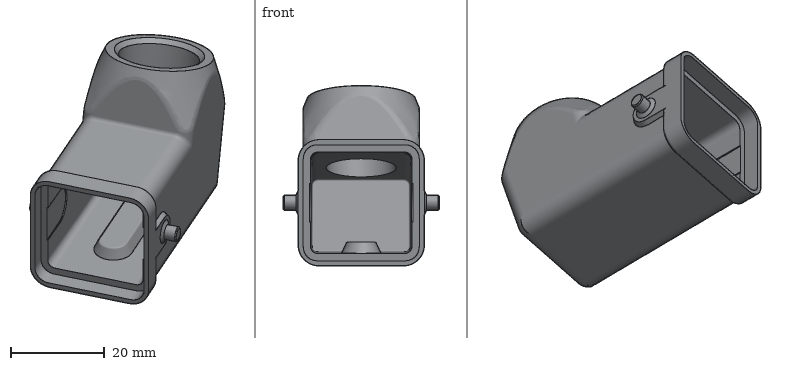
import cadquery as cq
import math


body_width = 25.0
body_half = body_width / 2
body_edge_radius = 3.5

tilt = 15.0
sin_tilt = math.sin(math.radians(tilt))
cos_tilt = math.cos(math.radians(tilt))
neck_axis = 35.85
neck_front = neck_axis - body_half
neck_rear = neck_axis + body_half
neck_top = 32.45
neck_edge_radius = 3.1
inside_corner_radius = 1.0

rim_radius = 11.63
cone_half_angle = 21.5
cone_depth = 13.0
blend_radius = 2.0

bore_radius = 8.7
bore_chamfer = 1.0
bore_depth = 10.25
passage_radius = 7.5
passage_overlap = 1.0

flange_width = 27.0
flange_half = flange_width / 2
flange_length = 5.25
flange_step = flange_half - body_half
flange_edge_radius = body_edge_radius + flange_step
flange_back_radius = 0.95 * flange_step
seat_half = 12.4
seat_radius = 3.0
seat_depth = 3.65

cavity_half = 10.85
cavity_corner_radius = 1.6
cavity_draft = 0.55
cavity_rear = 45.7
ceiling_height = 17.35
ceiling_edge_radius = 1.3
cavity_blend = 0.3

relief_half = 11.05
relief_radius = 4.1
relief_center = 11.0

ridge_radius = 4.25
ridge_height = 2.45
ridge_draft = 25.0
ridge_edge_radius = 0.5
ridge_center = 14.8

pin_y = 9.65
pin_radius = 1.62
pin_reach = 16.7
pin_chamfer = 0.25
collar_radius = 2.6
collar_height = 0.5
pad_radius = 4.15
pad_draft = 32.0


def from_neck(across, along):
    """Return (y, z) of a point given across and along the tilted neck axis."""
    return (across * cos_tilt + along * sin_tilt, along * cos_tilt - across * sin_tilt)


def along_at_height(across, z):
    """Return the distance along the neck axis at which a neck wall meets height z."""
    return (z + across * sin_tilt) / cos_tilt


def neck_plane(along):
    """Return the plane square to the neck axis, centred on it."""
    y, z = from_neck(neck_axis, along)
    return cq.Plane(origin=(0, y, z), xDir=(1, 0, 0), normal=(0, sin_tilt, cos_tilt))


def side_profile(points, half_width):
    """Extrude a closed (y, z) outline symmetrically along X."""
    return cq.Workplane("YZ").polyline(points).close().extrude(half_width, both=True)


def neck_box(front, rear, bottom, top):
    """Return a block the width of the body, square to the tilted neck axis."""
    corners = [(front, bottom), (rear, bottom), (rear, top), (front, top)]
    return side_profile([from_neck(*corner) for corner in corners], body_half)


def edge_at(solid, x, y, z):
    """Return the edge of the solid nearest to a point."""
    return solid.edges(cq.selectors.NearestToPointSelector((x, y, z))).val()


def round_edges(solid, radius, points):
    """Round the edges nearest to the given points."""
    return cq.Workplane(solid.val().fillet(radius, [edge_at(solid, *point) for point in points]))


def make_back():
    """Block with the rounded floor, heel and rear wall, reaching above the neck."""
    heel = from_neck(neck_rear, along_at_height(neck_rear, -body_half))
    rear_top = from_neck(neck_rear, neck_top + body_half)
    block = side_profile([(0, -body_half), heel, rear_top, (0, rear_top[1])], body_half)
    middle_y = heel[0] / 2
    rear_middle = from_neck(neck_rear, neck_top / 2)
    rounded = [(0, *heel)]
    for side in (-body_half, body_half):
        rounded.append((side, *rear_middle))
        rounded.append((side, middle_y, -body_half))
    return round_edges(block, neck_edge_radius, rounded)


def make_front():
    """Straight barrel joined to the neck, rounded along the barrel and the neck front."""
    length = from_neck(neck_rear, neck_top)[0]
    barrel = cq.Workplane("XZ").rect(body_width, body_width).extrude(-length)
    barrel = barrel.edges("|Y").fillet(body_edge_radius)
    neck_base = along_at_height(neck_rear, 0)
    neck = neck_box(neck_front, neck_rear + body_width, neck_base, neck_top)
    middle = from_neck(neck_front, (neck_base + neck_top) / 2)
    neck = round_edges(neck, neck_edge_radius, [(side, *middle) for side in (-body_half, body_half)])
    joined = barrel.union(neck)
    corner = from_neck(neck_front, along_at_height(neck_front, body_half))
    return round_edges(joined, inside_corner_radius, [(0, *corner)])


def make_body():
    """Outer body with the neck corners trimmed by a cone and blended into its walls."""
    body = make_back().intersect(make_front())
    block_height = cone_depth + 1
    bottom = neck_plane(neck_top - cone_depth)
    cone_base = rim_radius + cone_depth * math.tan(math.radians(cone_half_angle))
    block = cq.Workplane(bottom).rect(2 * body_width, body_width).extrude(block_height)
    cone = cq.Workplane(bottom).circle(cone_base).workplane(offset=cone_depth).circle(rim_radius).loft()
    body = body.cut(block.cut(cone))
    wall_drop = (body_half - rim_radius) / math.tan(math.radians(cone_half_angle))
    crest = from_neck(neck_front, neck_top - wall_drop)
    return round_edges(body, blend_radius, [(0, *crest)])


def make_flange():
    """Raised band around the plug end with a rounded back edge."""
    flange = cq.Workplane("XZ").rect(flange_width, flange_width).extrude(-flange_length)
    flange = flange.edges("|Y").fillet(flange_edge_radius)
    return flange.faces(">Y").edges().fillet(flange_back_radius)


def make_pin(side):
    """Locking pin with its collar on a drafted pad, on the side given by -1 or 1."""
    pad_front = flange_length - flange_step
    pad = (
        cq.Workplane("YZ", origin=(body_half, (pin_y + pad_front) / 2, 0))
        .slot2D(pin_y - pad_front + 2 * pad_radius, 2 * pad_radius)
        .extrude(flange_step, taper=pad_draft)
    )
    collar_top = flange_half + collar_height
    profile = [
        (0, body_half),
        (collar_radius, body_half),
        (collar_radius, flange_half),
        (pin_radius, collar_top),
        (pin_radius, pin_reach - pin_chamfer),
        (pin_radius - pin_chamfer, pin_reach),
        (0, pin_reach),
    ]
    pin = cq.Workplane("XY").polyline(profile).close().revolve(360, (0, 0), (0, 1))
    pin = pin.rotate((0, 0, 0), (0, 0, 1), -90).translate((0, pin_y, 0))
    pin = pin.union(pad)
    if side < 0:
        pin = pin.mirror("YZ")
    return pin


def make_ridge():
    """Drafted ridge along the cavity floor with a round front end."""
    length = neck_axis
    ridge = (
        cq.Workplane("XY", origin=(0, ridge_center + length / 2, -cavity_half))
        .slot2D(length + 2 * ridge_radius, 2 * ridge_radius, 90)
        .extrude(ridge_height, taper=ridge_draft)
    )
    return ridge.faces(">Z").edges().fillet(ridge_edge_radius)


def make_room():
    """Drafted cavity with a tilted ceiling and rear wall."""
    length = from_neck(cavity_rear, neck_top)[0]
    room = (
        cq.Workplane("XZ", origin=(0, seat_depth, 0))
        .sketch()
        .rect(2 * cavity_half, 2 * cavity_half)
        .vertices()
        .fillet(cavity_corner_radius)
        .finalize()
        .extrude(-length, taper=cavity_draft)
    )
    end = neck_box(neck_front - 2 * body_width, cavity_rear, -body_width, ceiling_height)
    room = room.intersect(end)
    ceiling_middle = from_neck((neck_front + cavity_rear) / 2, ceiling_height)
    ceiling_edges = [(side, *ceiling_middle) for side in (-cavity_half, cavity_half)]
    room = round_edges(room, ceiling_edge_radius, ceiling_edges)
    rear_middle = from_neck(cavity_rear, ceiling_height / 2)
    rear_wall = room.faces(cq.selectors.NearestToPointSelector((0, *rear_middle)))
    return rear_wall.edges().fillet(cavity_blend)


def make_cavity():
    """Everything hollowed out from the plug end: seat, room and side wall reliefs."""
    seat = cq.Workplane("XZ").rect(2 * seat_half, 2 * seat_half).extrude(-seat_depth)
    seat = seat.edges("|Y").fillet(seat_radius)
    relief_end = (
        cq.Workplane("YZ", origin=(-relief_half, relief_center, 0))
        .circle(relief_radius)
        .extrude(2 * relief_half)
    )
    relief = cq.Workplane("XY").box(
        2 * relief_half, relief_center, 2 * relief_radius, centered=(True, False, True)
    )
    relief = relief.union(relief_end)
    return make_room().cut(make_ridge()).union(seat).union(relief)


def make_bore():
    """Stepped cable bore with a chamfered mouth, opening into the cavity."""
    bore = cq.Workplane(neck_plane(neck_top - bore_depth)).circle(bore_radius).extrude(bore_depth)
    mouth = cq.Workplane(neck_plane(neck_top - bore_chamfer)).circle(bore_radius)
    mouth = mouth.workplane(offset=bore_chamfer).circle(bore_radius + bore_chamfer).loft()
    passage_length = neck_top - ceiling_height
    passage = cq.Workplane(neck_plane(ceiling_height - passage_overlap))
    passage = passage.circle(passage_radius).extrude(passage_length)
    return bore.union(mouth).union(passage)


result = make_body().union(make_flange())
for side in (-1, 1):
    result = result.union(make_pin(side))
result = result.cut(make_cavity()).cut(make_bore())